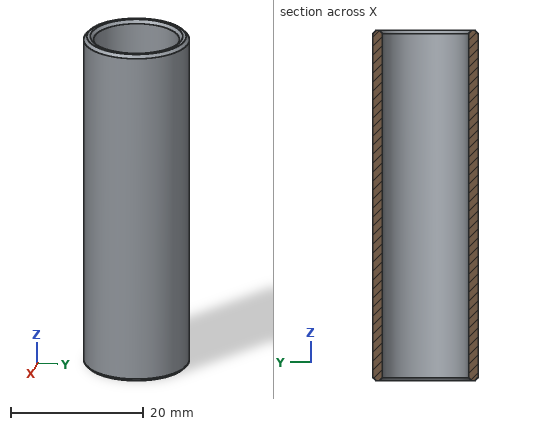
import cadquery as cq

length = 53.0
outer_diameter = 16.0
bore_diameter = 13.0
chamfer = 0.5

outer_radius = outer_diameter / 2
bore_radius = bore_diameter / 2

wall_section = (
    cq.Workplane("XZ")
    .moveTo(bore_radius + chamfer, 0)
    .lineTo(outer_radius - chamfer, 0)
    .lineTo(outer_radius, chamfer)
    .lineTo(outer_radius, length - chamfer)
    .lineTo(outer_radius - chamfer, length)
    .lineTo(bore_radius + chamfer, length)
    .lineTo(bore_radius, length - chamfer)
    .lineTo(bore_radius, chamfer)
    .close()
)

result = wall_section.revolve(360, (0, 0, 0), (0, 1, 0))